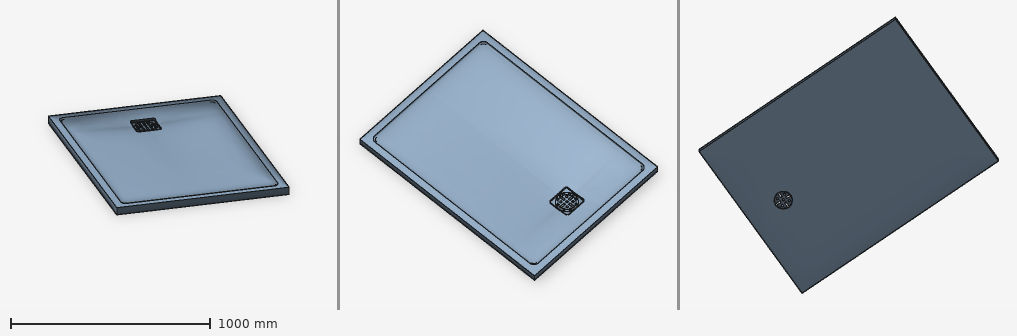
import cadquery as cq
import math

LENGTH = 1200.0
WIDTH = 900.0
HEIGHT = 40.0

RIM_WIDTH = 40.0
BASIN_DEPTH = 6.0
COVE_RADIUS = 12.0
BASIN_CORNER_RADIUS = 28.0

FLOOR_FALL = 22.0
DIP_FLATNESS = 24.0
DRAIN_X = -400.0
DRAIN_STRIP_WIDTH = 173.0

RECESS_SIDE = 127.0
RECESS_CORNER_RADIUS = 10.0
COUNTERBORE_DIAMETER = 115.0
COUNTERBORE_DEPTH = 2.0
OUTLET_DIAMETER = 90.0

GRATE_GAP = 2.0
GRATE_THICKNESS = 2.0
OPENING = 10.0
OPENING_PITCH = 22.0

wall_run = math.sqrt(COVE_RADIUS**2 - (COVE_RADIUS - BASIN_DEPTH) ** 2)
floor_length = LENGTH - 2 * (RIM_WIDTH + wall_run)
floor_width = WIDTH - 2 * (RIM_WIDTH + wall_run)
floor_corner_radius = BASIN_CORNER_RADIUS - wall_run
wall_foot_z = HEIGHT - BASIN_DEPTH
drain_z = wall_foot_z - FLOOR_FALL
recess_z = drain_z - GRATE_THICKNESS


def rounded_prism(length, width, corner_radius, bottom, top):
    """Upright prism around the Z axis with rounded vertical edges."""
    prism = cq.Workplane("XY", origin=(0, 0, bottom)).rect(length, width).extrude(top - bottom)
    return prism.edges("|Z").fillet(corner_radius)


def basin_space():
    """Space inside the rim, down to the foot of the wall, with the wall arc along its bottom."""
    space = rounded_prism(
        floor_length + 2 * COVE_RADIUS,
        floor_width + 2 * COVE_RADIUS,
        floor_corner_radius + COVE_RADIUS,
        wall_foot_z,
        HEIGHT + COVE_RADIUS,
    )
    return space.faces("<Z").edges().fillet(COVE_RADIUS)


def floor_section(x, fall):
    """Section at x of the space over the floor, whose bottom dips smoothly by `fall`."""
    half = floor_width / 2
    low = wall_foot_z - fall
    dip = [
        (-half, wall_foot_z),
        (-DIP_FLATNESS, low),
        (-DIP_FLATNESS, low),
        (DIP_FLATNESS, low),
        (DIP_FLATNESS, low),
        (half, wall_foot_z),
    ]
    section = cq.Workplane("YZ", origin=(x, 0, 0)).moveTo(-half, HEIGHT).lineTo(-half, wall_foot_z)
    return section.bezier(dip).lineTo(half, HEIGHT).close().wires().val()


def floor_space(wall_x):
    """Space over the ruled floor between the level foot of an end wall and the dip at the drain."""
    sections = [floor_section(wall_x, 0), floor_section(DRAIN_X, FLOOR_FALL)]
    space = cq.Workplane(obj=cq.Solid.makeLoft(sections, True))
    outline = rounded_prism(floor_length, floor_width, floor_corner_radius, 0, HEIGHT)
    return space.intersect(outline)


def slice_across(space, y_start, y_end):
    """Part of the space between two values of y."""
    slab = cq.Workplane("XY").box(LENGTH, y_end - y_start, 2 * HEIGHT)
    return space.intersect(slab.translate((0, (y_start + y_end) / 2, 0)))


def floor_pieces():
    """Spaces over the separate floor faces: three on the drain side and two on the far side."""
    side = WIDTH / 2
    strip = DRAIN_STRIP_WIDTH / 2
    near_space = floor_space(-floor_length / 2)
    far_space = floor_space(floor_length / 2)
    near_spans = [(-side, -strip), (-strip, strip), (strip, side)]
    far_spans = [(-side, 0), (0, side)]
    near_pieces = [slice_across(near_space, *span) for span in near_spans]
    far_pieces = [slice_across(far_space, *span) for span in far_spans]
    return near_pieces + far_pieces


def drain_spaces():
    """Grate recess, the round counterbore in its floor and the outlet through the bottom."""
    recess = rounded_prism(RECESS_SIDE, RECESS_SIDE, RECESS_CORNER_RADIUS, recess_z, HEIGHT)
    counterbore = cq.Workplane("XY", origin=(0, 0, recess_z - COUNTERBORE_DEPTH))
    counterbore = counterbore.circle(COUNTERBORE_DIAMETER / 2).extrude(COUNTERBORE_DEPTH)
    outlet = cq.Workplane("XY").circle(OUTLET_DIAMETER / 2).extrude(recess_z)
    return [space.translate((DRAIN_X, 0, 0)) for space in (recess, counterbore, outlet)]


def make_tray():
    tray = cq.Workplane("XY").box(LENGTH, WIDTH, HEIGHT, centered=(True, True, False))
    tray = tray.cut(basin_space())
    for space in floor_pieces() + drain_spaces():
        tray = tray.cut(space, clean=False)
    return tray


def cut_openings(body, centers, x_size, y_size):
    openings = cq.Workplane("XY").pushPoints(centers).rect(x_size, y_size).extrude(HEIGHT)
    return body.cut(openings)


def make_grate():
    """Square grate with a cross of slots around a middle hole and square holes between the slots."""
    side = RECESS_SIDE - 2 * GRATE_GAP
    grate = rounded_prism(side, side, RECESS_CORNER_RADIUS - GRATE_GAP, recess_z, drain_z)

    steps = (-2, -1, 1, 2)
    grid = [(i, j) for i in steps for j in steps if abs(i) + abs(j) < 4]
    holes = [(0, 0)] + [(i * OPENING_PITCH, j * OPENING_PITCH) for i, j in grid]
    grate = cut_openings(grate, holes, OPENING, OPENING)

    slot_length = OPENING_PITCH + OPENING
    slot_offset = 1.5 * OPENING_PITCH
    grate = cut_openings(grate, [(-slot_offset, 0), (slot_offset, 0)], slot_length, OPENING)
    grate = cut_openings(grate, [(0, -slot_offset), (0, slot_offset)], OPENING, slot_length)
    return grate.translate((DRAIN_X, 0, 0))


tray = make_tray()
grate = make_grate()
result = cq.Compound.makeCompound([tray.solids().val(), grate.solids().val()])